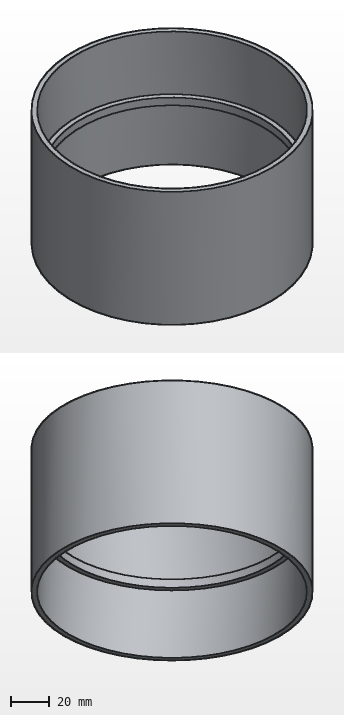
import cadquery as cq

outer_diameter = 146.0
socket_diameter = 140.0
stop_diameter = 134.0
length = 85.0
stop_width = 5.0

socket_depth = (length - stop_width) / 2


def ring(outside, inside, height, base_z):
    """Flat-ended ring around the Z axis, standing on base_z."""
    return (
        cq.Workplane("XY")
        .workplane(offset=base_z)
        .circle(outside / 2)
        .circle(inside / 2)
        .extrude(height)
    )


sleeve = ring(outer_diameter, socket_diameter, length, 0)

stop_ring = ring(outer_diameter, stop_diameter, stop_width, socket_depth)

result = sleeve.union(stop_ring).clean()